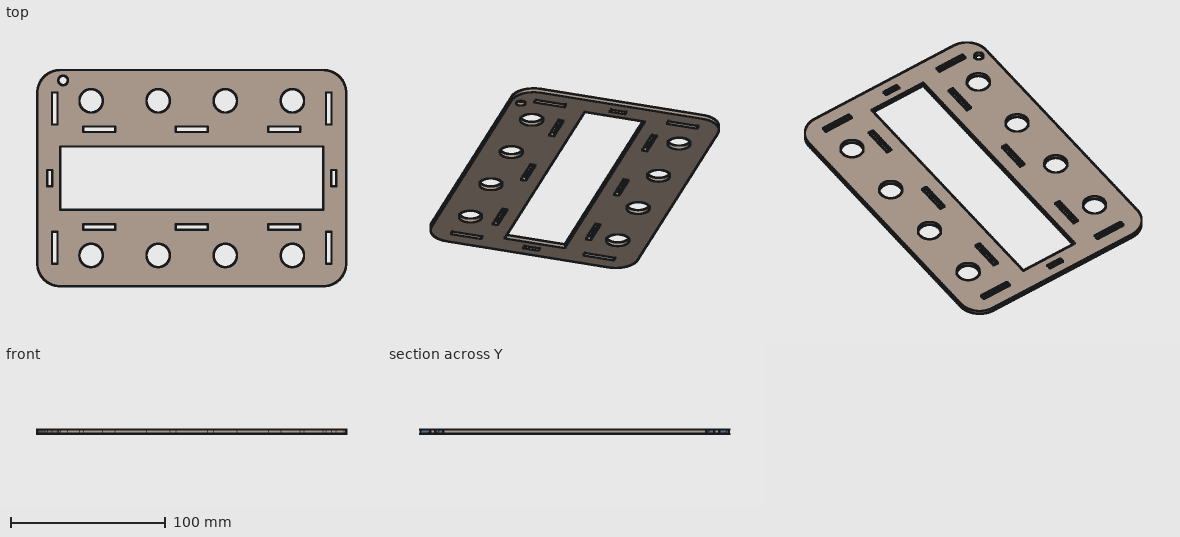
import cadquery as cq

length = 200.0
width = 140.0
thickness = 3.0
corner_radius = 15.0

window_length = 170.0
window_width = 40.8

hole_diameter = 15.0
holes_per_row = 4
hole_pitch = 43.5
hole_row_offset = 50.0

corner_hole_diameter = 6.0
corner_hole_x = -83.2
corner_hole_y = 63.2

slot_length = 20.5
slot_width = 3.5
long_slot_pitch = 59.8
long_slot_row_offset = 31.5
end_slot_x = 88.5
end_slot_y = 45.0
middle_slot_length = 10.5
middle_slot_width = 3.0
middle_slot_x = 91.8


def rectangular_cutter(size_x, size_y, centers):
    """Through-cutting blocks at the given centers."""
    return cq.Workplane("XY").pushPoints(centers).rect(size_x, size_y).extrude(thickness)


plate = (
    cq.Workplane("XY")
    .rect(length, width)
    .extrude(thickness)
    .edges("|Z")
    .fillet(corner_radius)
)

plate = (
    plate.faces(">Z").workplane(origin=(0, 0, thickness))
    .rarray(hole_pitch, 2 * hole_row_offset, holes_per_row, 2)
    .hole(hole_diameter)
)
plate = (
    plate.faces(">Z").workplane(origin=(0, 0, thickness))
    .center(corner_hole_x, corner_hole_y)
    .hole(corner_hole_diameter)
)

plate = plate.cut(rectangular_cutter(window_length, window_width, [(0, 0)]))

long_slot_centers = [
    (column * long_slot_pitch, side * long_slot_row_offset)
    for column in (-1, 0, 1)
    for side in (-1, 1)
]
plate = plate.cut(rectangular_cutter(slot_length, slot_width, long_slot_centers))

end_slot_centers = [(i * end_slot_x, j * end_slot_y) for i in (-1, 1) for j in (-1, 1)]
plate = plate.cut(rectangular_cutter(slot_width, slot_length, end_slot_centers))
middle_slot_centers = [(-middle_slot_x, 0), (middle_slot_x, 0)]
plate = plate.cut(rectangular_cutter(middle_slot_width, middle_slot_length, middle_slot_centers))

result = plate